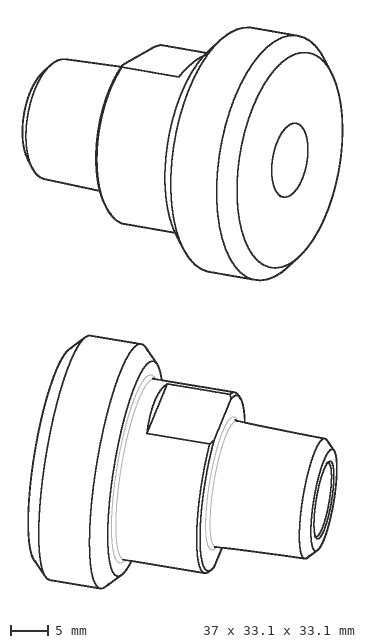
import cadquery as cq
import math

total_length = 37.0
collar_start = 14.0
flange_start = 26.0
flat_end = 23.0

bore_radius = 10.0 / 2
spigot_tip_radius = 8.15
spigot_root_radius = 8.55
collar_radius = 24.5 / 2
flange_radius = 33.1 / 2

across_flats = 22.0
flat_wall_tilt = 15.0

tip_chamfer = 1.25
bore_chamfer = 0.25
collar_chamfer = 0.37
flange_chamfer = 2.0
root_fillet = 0.48


def quarter_fillet(profile, shoulder_x, radius):
    """Add a concave arc that rises from a cylinder to the shoulder behind it."""
    offset = root_fillet * math.sqrt(0.5)
    start_x = shoulder_x - root_fillet
    middle = (start_x + offset, radius + root_fillet - offset)
    return profile.threePointArc(middle, (shoulder_x, radius + root_fillet))


def turned_body():
    """Revolve the half section, including the through bore, about X."""
    profile = (
        cq.Workplane("XY")
        .moveTo(0, bore_radius + bore_chamfer)
        .lineTo(0, spigot_tip_radius - tip_chamfer)
        .lineTo(tip_chamfer, spigot_tip_radius)
        .lineTo(collar_start - root_fillet, spigot_root_radius)
    )
    profile = (
        quarter_fillet(profile, collar_start, spigot_root_radius)
        .lineTo(collar_start, collar_radius - collar_chamfer)
        .lineTo(collar_start + collar_chamfer, collar_radius)
        .lineTo(flange_start - root_fillet, collar_radius)
    )
    profile = (
        quarter_fillet(profile, flange_start, collar_radius)
        .lineTo(flange_start, flange_radius - flange_chamfer)
        .lineTo(flange_start + flange_chamfer, flange_radius)
        .lineTo(total_length - flange_chamfer, flange_radius)
        .lineTo(total_length, flange_radius - flange_chamfer)
        .lineTo(total_length, bore_radius)
        .lineTo(bore_chamfer, bore_radius)
        .close()
    )
    return profile.revolve(360, (0, 0, 0), (1, 0, 0))


def flat_cutter():
    """Material above the upper flat, ending in a wall that leans outward."""
    floor_z = across_flats / 2
    wall_run = (collar_radius - floor_z) * math.tan(math.radians(flat_wall_tilt))
    return (
        cq.Workplane("XZ")
        .moveTo(collar_start, floor_z)
        .lineTo(flat_end, floor_z)
        .lineTo(flat_end + wall_run, collar_radius)
        .lineTo(collar_start, collar_radius)
        .close()
        .extrude(collar_radius, both=True)
    )


upper_cutter = flat_cutter()
result = turned_body()
for cutter in (upper_cutter, upper_cutter.mirror("XY")):
    result = result.cut(cutter)